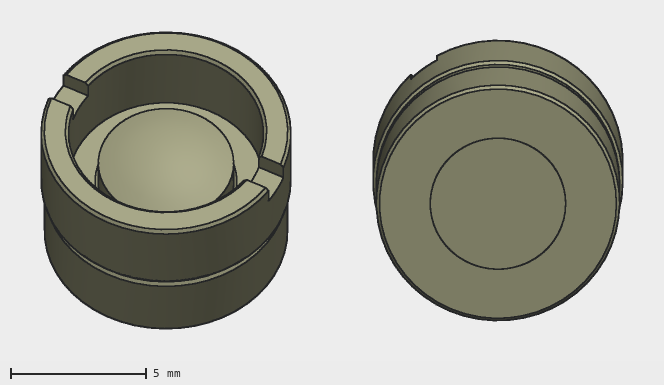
import cadquery as cq
import math

flange_diameter = 9.24
flange_height = 3.2
thread_diameter = 9.0
thread_height = 2.9
groove_diameter = 8.48
groove_width = 0.25
edge_chamfer = 0.12
overall_height = thread_height + groove_width + flange_height

bore_diameter = 7.21
bore_depth = 3.15
ledge_height = overall_height - bore_depth

slot_width = 1.2
slot_depth = 0.75

lens_diameter = 5.01
rim_above_ledge = 1.14
dome_rise = 0.62


def disc(diameter, height, base):
    """Upright cylinder on the Z axis, with its lower face at the given height."""
    return cq.Workplane("XY").workplane(offset=base).circle(diameter / 2).extrude(height)


def countersink(diameter, height):
    """Cone that chamfers the mouth of a hole whose upper face is at the given height."""
    return (
        cq.Workplane("XY")
        .workplane(offset=height)
        .circle(diameter / 2 + edge_chamfer)
        .workplane(offset=-edge_chamfer)
        .circle(diameter / 2)
        .loft(ruled=True)
    )


def make_housing():
    """Chamfered thread blank and flange, joined by the relief groove and bored through."""
    flange_base = thread_height + groove_width
    thread_blank = disc(thread_diameter, thread_height, 0).edges().chamfer(edge_chamfer)
    groove_core = disc(groove_diameter, groove_width, thread_height)
    flange = disc(flange_diameter, flange_height, flange_base).edges().chamfer(edge_chamfer)
    body = thread_blank.union(groove_core).union(flange)

    body = body.cut(disc(bore_diameter, bore_depth, ledge_height))
    body = body.cut(countersink(bore_diameter, overall_height))
    body = body.cut(disc(lens_diameter, ledge_height, 0))
    body = body.cut(countersink(lens_diameter, ledge_height))

    slot = (
        cq.Workplane("XY")
        .workplane(offset=overall_height - slot_depth)
        .rect(flange_diameter, slot_width)
        .extrude(slot_depth)
    )
    return body.cut(slot)


def make_lens():
    """Plano-convex lens with a cylindrical side, flat below and domed above."""
    radius = lens_diameter / 2
    rim_height = ledge_height + rim_above_ledge
    apex_height = rim_height + dome_rise
    dome_radius = (radius**2 + dome_rise**2) / (2 * dome_rise)
    dome_center_height = apex_height - dome_radius
    mid_x = radius / 2
    mid_height = dome_center_height + math.sqrt(dome_radius**2 - mid_x**2)
    half_section = (
        cq.Workplane("YZ")
        .lineTo(radius, 0)
        .lineTo(radius, rim_height)
        .threePointArc((mid_x, mid_height), (0, apex_height))
        .close()
    )
    return half_section.revolve(360, (0, 0, 0), (0, 1, 0))


housing = make_housing()
lens = make_lens()

result = cq.Compound.makeCompound([housing.val(), lens.val()])